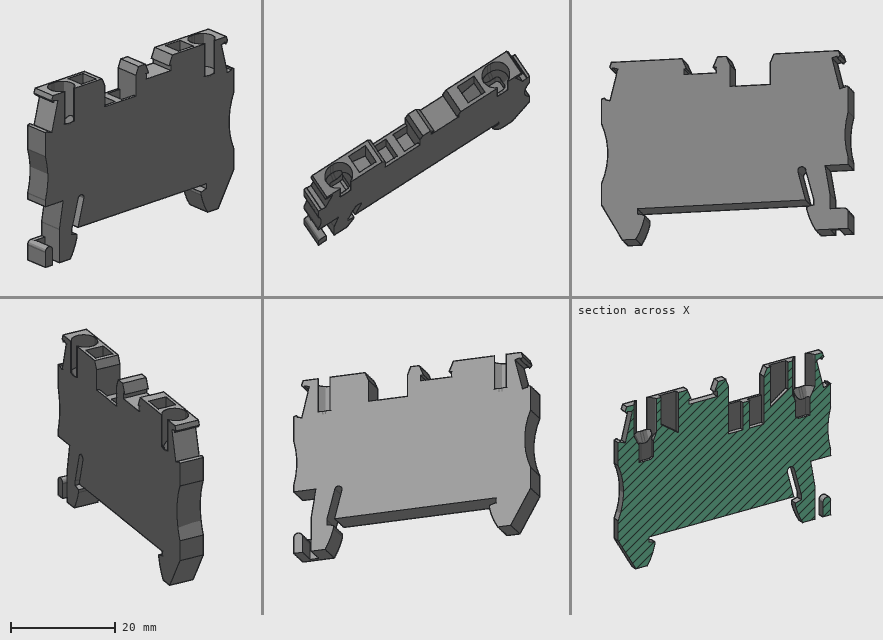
import cadquery as cq
import math

THICKNESS = 5.15
LENGTH = 48.6
HEIGHT = 35.25
HALF_LENGTH = LENGTH / 2

BASE_Z = 6.05
RAIL_NOTCH_Z = 5.0
TOE_TIP_Z = 4.65
TOE_CURVE_Z = 4.1
TOE_CURVE_MID_Z = 2.65
FIXED_TOE_Y = 15.85
FIXED_NOTCH_Y = 17.2
LATCH_TOE_Y = -16.15
LATCH_NOTCH_Y = -17.5
BRIDGE_START_Y = 1.7
BRIDGE_END_Y = 8.05
BRIDGE_FLOOR_Z = 32.1
BRIDGE_LIP_Z = 33.2
GAP_FLOOR_Z = 29.25
GAP_BEVEL_Z = 33.6
LATCH_ROOT_Z = 12.65
LATCH_FOOT_Z = 4.1
LATCH_FOOT_RADIUS = 0.9
LATCH_FACE_Y = -20.7
FOOT_WALL = 0.95

ENTRY_X = 0.2
ENTRY_Y = 18.1
ENTRY_WIDTH = 4.8
ENTRY_RADIUS = ENTRY_WIDTH / 2
ENTRY_STRAIGHT = 0.6
ENTRY_DEPTH = 6.8
FUNNEL_DEPTH = 2.9
FUNNEL_ANGLE = 24.0
WIRE_HALF_WIDTH = 1.4
WIRE_OUTER_REACH = 1.5
WIRE_INNER_REACH = 1.8
WIRE_CORNER_RADIUS = 0.85
WIRE_DEPTH = 5.85
WIRE_CHAMFER_LENGTH = 0.6
WIRE_CHAMFER_HEIGHT = 0.35
SIDE_OPENING = 2.45

WELL_WIDTH = 3.8
WELL_INNER_Y = 10.6
WELL_OUTER_Y = 14.45
WELL_DEPTH = 5.85
WELL_FLOOR_ANGLE = 35.0

POCKET_WIDTH = 4.0
POCKET_LENGTH = 3.15
POCKET_DEPTH = 5.85
GAP_START_Y = -0.95
GAP_END_Y = -8.95


def marker_groove(side):
    """Marker groove at one end, listed from the top face down to the end face."""
    points = [
        (22.35, HEIGHT),
        (22.7, 34.25),
        (22.2, 33.75),
        (22.05, 34.1),
        (21.1, 33.83),
        (22.65, 27.65),
        (23.6, 27.95),
        (23.7, 28.25),
        (HALF_LENGTH, 28.05),
    ]
    return [(side * y, z) for y, z in points]


def make_body():
    outline = (
        cq.Workplane("YZ")
        .workplane(offset=-THICKNESS / 2)
        .polyline(marker_groove(1))
        .lineTo(HALF_LENGTH, 23.15)
        .threePointArc((23.1, 17.25), (HALF_LENGTH, 11.35))
        .lineTo(HALF_LENGTH, 7.1)
        .lineTo(20.2, 0)
        .lineTo(17.55, 0)
        .threePointArc((16.25, TOE_CURVE_MID_Z), (FIXED_TOE_Y, TOE_CURVE_Z))
        .lineTo(FIXED_TOE_Y, TOE_TIP_Z)
        .lineTo(FIXED_NOTCH_Y, RAIL_NOTCH_Z)
        .lineTo(FIXED_NOTCH_Y, BASE_Z)
        .lineTo(-15.9, BASE_Z)
        .lineTo(-14.4, 11.75)
        .threePointArc((-15.05, LATCH_ROOT_Z), (-15.85, 12.15))
        .lineTo(LATCH_NOTCH_Y, BASE_Z)
        .lineTo(LATCH_NOTCH_Y, RAIL_NOTCH_Z)
        .lineTo(LATCH_TOE_Y, TOE_TIP_Z)
        .lineTo(LATCH_TOE_Y, TOE_CURVE_Z)
        .threePointArc((-16.55, TOE_CURVE_MID_Z), (-17.85, 0))
        .lineTo(-HALF_LENGTH, 0)
        .lineTo(-HALF_LENGTH, LATCH_FOOT_Z - LATCH_FOOT_RADIUS)
        .radiusArc((-HALF_LENGTH + LATCH_FOOT_RADIUS, LATCH_FOOT_Z), LATCH_FOOT_RADIUS)
        .lineTo(LATCH_FACE_Y, LATCH_FOOT_Z)
        .lineTo(LATCH_FACE_Y, 6.95)
        .lineTo(-19.75, LATCH_ROOT_Z)
        .lineTo(-HALF_LENGTH, LATCH_ROOT_Z)
        .lineTo(-HALF_LENGTH, 13.95)
        .threePointArc((-23.65, 18.5), (-HALF_LENGTH, 23.1))
    )
    for point in reversed(marker_groove(-1)):
        outline = outline.lineTo(*point)
    outline = (
        outline
        .lineTo(-9.65, HEIGHT)
        .lineTo(GAP_END_Y, GAP_BEVEL_Z)
        .lineTo(GAP_END_Y, GAP_FLOOR_Z)
        .lineTo(GAP_START_Y, GAP_FLOOR_Z)
        .lineTo(GAP_START_Y, GAP_BEVEL_Z)
        .lineTo(-0.3, HEIGHT)
        .lineTo(1.45, HEIGHT)
        .lineTo(2.35, BRIDGE_LIP_Z)
        .lineTo(BRIDGE_START_Y, BRIDGE_LIP_Z)
        .lineTo(BRIDGE_START_Y, BRIDGE_FLOOR_Z)
        .lineTo(BRIDGE_END_Y, BRIDGE_FLOOR_Z)
        .lineTo(BRIDGE_END_Y, BRIDGE_LIP_Z)
        .lineTo(7.6, BRIDGE_LIP_Z)
        .lineTo(8.45, HEIGHT)
        .close()
    )
    return outline.extrude(THICKNESS)


def entry_outline(plane):
    """Stadium outline of the entry shaft, its straight sides along Y."""
    return plane.slot2D(ENTRY_STRAIGHT + ENTRY_WIDTH, ENTRY_WIDTH, 90)


def wire_outline(plane):
    """D-shaped passage: two rounded corners toward the end of the part."""
    arc_y = WIRE_OUTER_REACH - WIRE_CORNER_RADIUS
    arc_x = WIRE_HALF_WIDTH - WIRE_CORNER_RADIUS
    return (
        plane.moveTo(-WIRE_HALF_WIDTH, -WIRE_INNER_REACH)
        .lineTo(-WIRE_HALF_WIDTH, arc_y)
        .radiusArc((-arc_x, WIRE_OUTER_REACH), WIRE_CORNER_RADIUS)
        .lineTo(arc_x, WIRE_OUTER_REACH)
        .radiusArc((WIRE_HALF_WIDTH, arc_y), WIRE_CORNER_RADIUS)
        .lineTo(WIRE_HALF_WIDTH, -WIRE_INNER_REACH)
        .close()
    )


def make_wire_entry():
    """Cutter for the +Y wire entry: shaft, funnel, passage and side opening."""
    top = cq.Workplane("XY", origin=(ENTRY_X, ENTRY_Y, HEIGHT))
    seat = top.workplane(offset=-ENTRY_DEPTH)
    entry_reach = ENTRY_RADIUS + ENTRY_STRAIGHT / 2
    shaft = entry_outline(top).extrude(-ENTRY_DEPTH)
    funnel = entry_outline(seat).extrude(-FUNNEL_DEPTH, taper=FUNNEL_ANGLE)
    slope_length = entry_reach - WIRE_INNER_REACH
    slope_drop = slope_length / math.tan(math.radians(FUNNEL_ANGLE))
    wedge = (
        cq.Workplane("YZ", origin=(ENTRY_X, ENTRY_Y, HEIGHT - ENTRY_DEPTH))
        .polyline([
            (-entry_reach, 0),
            (-WIRE_INNER_REACH, 0),
            (-WIRE_INNER_REACH, -slope_drop),
        ])
        .close()
        .extrude(entry_reach, both=True)
    )
    guide = entry_outline(seat).extrude(-slope_drop).intersect(wedge)
    passage = (
        wire_outline(seat)
        .extrude(-WIRE_DEPTH)
        .faces("<Z").edges("<Y").chamfer(WIRE_CHAMFER_HEIGHT, WIRE_CHAMFER_LENGTH)
    )
    opening = (
        top.rect(THICKNESS, SIDE_OPENING)
        .extrude(-ENTRY_DEPTH)
        .translate((THICKNESS / 2, 0, 0))
    )
    return shaft.union(funnel).union(guide).union(passage).union(opening)


def make_release_well():
    """Cutter for the +Y square well, its floor falling toward the middle."""
    shallow_z = HEIGHT - WELL_DEPTH
    drop = (WELL_OUTER_Y - WELL_INNER_Y) * math.tan(math.radians(WELL_FLOOR_ANGLE))
    return (
        cq.Workplane("YZ")
        .polyline([
            (WELL_INNER_Y, HEIGHT),
            (WELL_OUTER_Y, HEIGHT),
            (WELL_OUTER_Y, shallow_z),
            (WELL_INNER_Y, shallow_z - drop),
        ])
        .close()
        .extrude(WELL_WIDTH / 2, both=True)
    )


def make_gap_pocket(centre_y):
    return (
        cq.Workplane("XY", origin=(0, centre_y, GAP_FLOOR_Z))
        .rect(POCKET_WIDTH, POCKET_LENGTH)
        .extrude(-POCKET_DEPTH)
    )


def make_foot_slot():
    """Cutter for the slot behind the fully rounded pull bar of the latch foot."""
    crest_y = -HALF_LENGTH + LATCH_FOOT_RADIUS
    bar_inner_y = crest_y + LATCH_FOOT_RADIUS
    return (
        cq.Workplane("YZ")
        .workplane(offset=-THICKNESS / 2 + FOOT_WALL)
        .moveTo(LATCH_FACE_Y, 0)
        .lineTo(LATCH_FACE_Y, LATCH_FOOT_Z)
        .lineTo(crest_y, LATCH_FOOT_Z)
        .radiusArc((bar_inner_y, LATCH_FOOT_Z - LATCH_FOOT_RADIUS), LATCH_FOOT_RADIUS)
        .lineTo(bar_inner_y, 0)
        .close()
        .extrude(THICKNESS - FOOT_WALL)
    )


result = make_body().cut(make_foot_slot())

for cutter in (make_wire_entry(), make_release_well()):
    result = result.cut(cutter).cut(cutter.mirror("XZ"))

for pocket_y in (GAP_START_Y - POCKET_LENGTH / 2, GAP_END_Y + POCKET_LENGTH / 2):
    result = result.cut(make_gap_pocket(pocket_y))